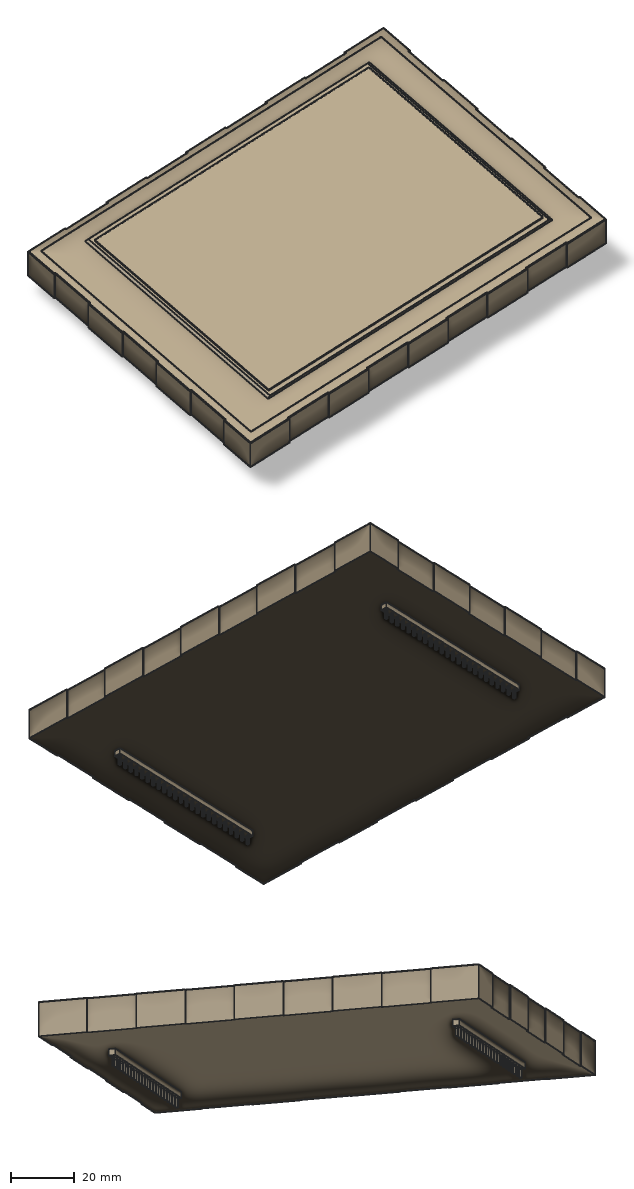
import cadquery as cq

CASE_X = 107.2
CASE_Y = 146.4
CASE_HEIGHT = 11.1
TOP_CHAMFER = 0.22
RECESS_DEPTH = 0.5
RECESS_PITCH = 32.6
RECESS_LENGTH = RECESS_PITCH / 2
RECESSES_PER_END = 3
RECESSES_PER_SIDE = 4
LAST_RECESS_EXTENSION = 0.7

PANEL_X = 101
PANEL_Y = 140.0
PANEL_THICKNESS = 0.1
PANEL_SHIFT_X = -0.5

DISPLAY_CENTER = (-1.0, 1.6)
FRAME_X = 88.1
FRAME_Y = 117.0
FRAME_THICKNESS = 0.6
RIM_WIDTH_X = 0.37
RIM_WIDTH_Y = 1.0
SCREEN_X = 83.7
SCREEN_Y = 112.9
SCREEN_THICKNESS = 0.5

PIN_COUNT = 24
PIN_ROW_LENGTH = 58.4
PIN_PITCH = PIN_ROW_LENGTH / (PIN_COUNT - 1)
PIN_WIDTH = 0.65
PIN_LENGTH = 3.1
HEADER_X = 60.6
HEADER_Y = 2.2
HEADER_HEIGHT = 2.0
HEADER_SPACING = 114.3

PANEL_TOP = CASE_HEIGHT + PANEL_THICKNESS
FRAME_TOP = PANEL_TOP + FRAME_THICKNESS


def block(x, y, height, center=(0, 0), bottom=0):
    plane = cq.Workplane("XY", origin=(center[0], center[1], bottom))
    return plane.rect(x, y).extrude(height)


def side_recesses():
    cutter = 2 * RECESS_DEPTH
    ends = cq.Workplane("XY").rarray(RECESS_PITCH, CASE_Y, RECESSES_PER_END, 2)
    ends = ends.rect(RECESS_LENGTH, cutter).extrude(CASE_HEIGHT)
    sides = cq.Workplane("XY").rarray(CASE_X, RECESS_PITCH, 2, RECESSES_PER_SIDE)
    sides = sides.rect(cutter, RECESS_LENGTH).extrude(CASE_HEIGHT)
    last_end = -RECESS_PITCH * (RECESSES_PER_SIDE - 1) / 2 - RECESS_LENGTH / 2
    extension_center = (-CASE_X / 2, last_end)
    extension = block(cutter, 2 * LAST_RECESS_EXTENSION, CASE_HEIGHT, extension_center)
    return ends.union(sides).union(extension)


def display():
    frame = (
        cq.Workplane("XY", origin=(*DISPLAY_CENTER, PANEL_TOP))
        .rect(FRAME_X, FRAME_Y)
        .workplane(offset=FRAME_THICKNESS)
        .rect(FRAME_X - 2 * RIM_WIDTH_X, FRAME_Y - 2 * RIM_WIDTH_Y)
        .loft(ruled=True)
    )
    screen = block(SCREEN_X, SCREEN_Y, SCREEN_THICKNESS, DISPLAY_CENTER, FRAME_TOP)
    return frame.union(screen)


def pin_header(center_y):
    center = (0, center_y)
    body = block(HEADER_X, HEADER_Y, -HEADER_HEIGHT, center)
    pins = (
        cq.Workplane("XY", origin=(*center, -HEADER_HEIGHT))
        .rarray(PIN_PITCH, 1.5, PIN_COUNT, 1)
        .rect(PIN_WIDTH, PIN_WIDTH)
        .extrude(-PIN_LENGTH)
    )
    return body.union(pins)


case = block(CASE_X, CASE_Y, CASE_HEIGHT).cut(side_recesses())
case = case.faces(">Z").chamfer(TOP_CHAMFER)
panel = block(PANEL_X, PANEL_Y, PANEL_THICKNESS, (PANEL_SHIFT_X, 0), CASE_HEIGHT)
result = case.union(panel).union(display())
for header_y in (-HEADER_SPACING / 2, HEADER_SPACING / 2):
    result = result.union(pin_header(header_y))